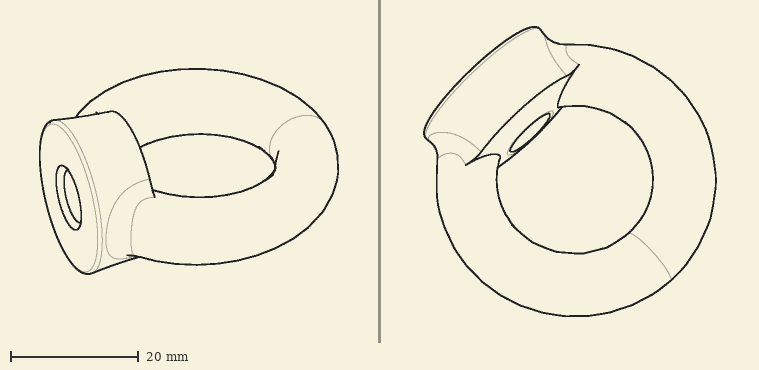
import cadquery as cq
import math


total_height = 44.0
ring_outer_radius = 22.0
ring_outer_center = total_height - ring_outer_radius
ring_inner_radius = 12.25
ring_top_thickness = 10.0
ring_inner_center = total_height - ring_top_thickness - ring_inner_radius
ring_taper = 0.024
ring_end_angle = -66.0
ring_section_count = 9
seam_angle = 270.0

base_radius = 12.5
base_edge_radius = 0.5
waist_radius = 11.58
waist_height = 12.5
flare_radius = (waist_height**2 / (base_radius - waist_radius) + base_radius - waist_radius) / 2
shoulder_height = 10.0
top_slope = 0.21
top_flat_radius = 4.9

blend_radius = 4.0
blend_collar_height = 13.0
cone_reach_radius = 30.0

bore_diameter = 8.5
countersink_diameter = 10.4
countersink_depth = (countersink_diameter - bore_diameter) / 2


def collar_radius(height):
    """Radius of the flared collar at the given height."""
    return waist_radius + flare_radius - math.sqrt(flare_radius**2 - (waist_height - height) ** 2)


shoulder_radius = collar_radius(shoulder_height)
top_height = shoulder_height + top_slope * (shoulder_radius - top_flat_radius)


def ring_inner_distance(angle):
    """Distance from the outer ring centre to the inner circle along a ray at the given angle."""
    offset = ring_inner_center - ring_outer_center
    along = offset * math.sin(angle)
    across = offset * math.cos(angle)
    return along + math.sqrt(ring_inner_radius**2 - across**2)


def ring_section(angle):
    """Elliptical cross-section of the ring on the ray at the given angle."""
    inner = ring_inner_distance(angle)
    half_thickness = (ring_outer_radius - inner) / 2
    middle = (ring_outer_radius + inner) / 2
    ray = cq.Vector(math.cos(angle), math.sin(angle), 0)
    normal = cq.Vector(-math.sin(angle), math.cos(angle), 0)
    center = cq.Vector(0, ring_outer_center, 0) + ray * middle
    top_center = total_height - ring_top_thickness / 2
    half_width = ring_top_thickness / 2 + ring_taper * (top_center - center.y)
    return cq.Wire.makeEllipse(
        max(half_width, half_thickness),
        half_thickness,
        center,
        normal,
        cq.Vector(0, 0, 1),
        angle1=seam_angle,
        angle2=seam_angle + 360,
        closed=False,
    )


def make_ring():
    """Two mirrored arms that meet at the top of the ring."""
    start = math.pi / 2
    step = (math.radians(ring_end_angle) - start) / (ring_section_count - 1)
    sections = [ring_section(start + i * step) for i in range(ring_section_count)]
    arm = cq.Workplane(cq.Solid.makeLoft(sections))
    return arm.union(arm.mirror("YZ"))


def make_collar(height):
    """Flared collar with a rounded base edge and a flat top at the given height."""
    middle_height = height / 2
    collar = (
        cq.Workplane("ZY")
        .lineTo(base_radius, 0)
        .threePointArc(
            (collar_radius(middle_height), middle_height), (collar_radius(height), height)
        )
        .lineTo(0, height)
        .close()
        .revolve(360, (0, 0), (0, 1))
    )
    return collar.faces("<Y").edges().fillet(base_edge_radius)


def make_cone_envelope():
    """Space below the conical top, extended outwards past the collar."""
    reach_height = shoulder_height - top_slope * (cone_reach_radius - shoulder_radius)
    return (
        cq.Workplane("ZY")
        .lineTo(cone_reach_radius, 0)
        .lineTo(cone_reach_radius, reach_height)
        .lineTo(top_flat_radius, top_height)
        .lineTo(0, top_height)
        .close()
        .revolve(360, (0, 0), (0, 1))
    )


def make_bore():
    """Through hole with a countersink in the base face."""
    bore_radius = bore_diameter / 2
    return (
        cq.Workplane("ZY")
        .lineTo(countersink_diameter / 2, 0)
        .lineTo(bore_radius, countersink_depth)
        .lineTo(bore_radius, top_height)
        .lineTo(0, top_height)
        .close()
        .revolve(360, (0, 0), (0, 1))
    )


def is_blend_edge(edge):
    """True for the edges where an arm meets the flared side of the collar."""
    box = edge.BoundingBox()
    tolerance = 0.01
    above_base = box.ymin > base_edge_radius + tolerance
    starts_below_top = box.ymin < blend_collar_height - tolerance
    ends_at_top = box.ymax < blend_collar_height + tolerance
    return above_base and starts_below_top and ends_at_top


def make_blended_base(ring):
    """Collar under its conical top, with the arms blended into the flared side."""
    joined = make_collar(blend_collar_height).union(ring)
    blend_edges = [edge for edge in joined.edges().vals() if is_blend_edge(edge)]
    blended = joined.newObject(blend_edges).fillet(blend_radius)
    return blended.intersect(make_cone_envelope())


eye_ring = make_ring()
eye_nut = make_blended_base(eye_ring).union(eye_ring)
result = eye_nut.cut(make_bore())